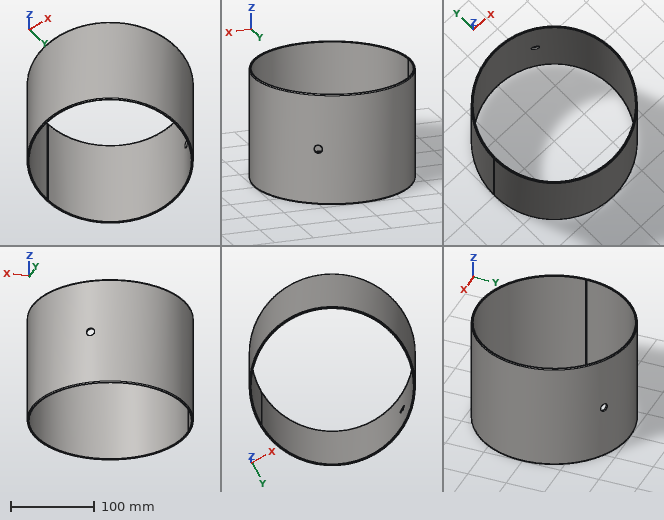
import cadquery as cq

outer_diameter = 200.0
height = 140.0
wall = 2.5
bevel_width = 0.65
outer_bevel_height = 1.5
inner_bevel_height = 0.9
hole_diameter = 10.0

seam_start = 180.0
seam_gap = 1.0
hole_from_seam = 120.0

outer_radius = outer_diameter / 2
inner_radius = outer_radius - wall
hole_angle = seam_start - seam_gap / 2 - hole_from_seam


def make_sleeve():
    """Thin sleeve with rims bevelled inside and out, left open along a narrow seam on the -X side."""
    rim_outer = outer_radius - bevel_width
    rim_inner = inner_radius + bevel_width
    profile = [
        (rim_inner, 0),
        (rim_outer, 0),
        (outer_radius, outer_bevel_height),
        (outer_radius, height - outer_bevel_height),
        (rim_outer, height),
        (rim_inner, height),
        (inner_radius, height - inner_bevel_height),
        (inner_radius, inner_bevel_height),
    ]
    sleeve = cq.Workplane("XZ").polyline(profile).close().revolve(360 - seam_gap, (0, 0), (0, 1))
    return sleeve.rotate((0, 0, 0), (0, 0, 1), seam_start)


def make_hole():
    """Radial cutter through the wall at mid-height."""
    return (
        cq.Workplane("YZ")
        .center(0, height / 2)
        .circle(hole_diameter / 2)
        .extrude(outer_radius)
        .rotate((0, 0, 0), (0, 0, 1), hole_angle)
    )


result = make_sleeve().cut(make_hole())